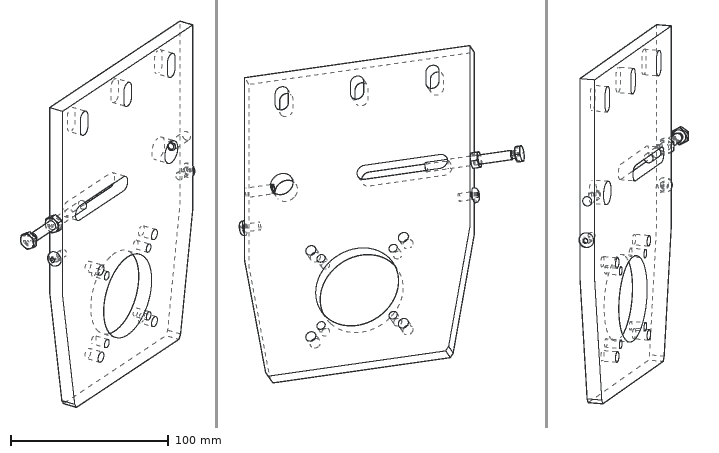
import cadquery as cq
import math


plate_height = 216.0
plate_width = 150.0
plate_thickness = 10.0
taper_height = 85.8
foot_width = 121.8
foot_chamfer_y = 2.0
foot_chamfer_z = 3.0

mount_slot_count = 3
mount_slot_pitch = 50.1
mount_slot_width = 8.6
mount_slot_length = 16.5
mount_slot_z = 197.5

bolt_z = 136.0
post_hole_diameter = 15.0
post_hole_y = 50.1
adjust_slot_width = 10.0
adjust_slot_length = 60.0
adjust_slot_y = -adjust_slot_length / 2

bore_diameter = 55.0
bore_z = 54.9
inner_hole_diameter = 5.5
inner_hole_pitch = 48.0
outer_hole_diameter = 6.7
outer_hole_pitch = 61.5

thread_diameter = 6.0
hexagon_sides = 6
hex_across_flats = 10.0
hex_face_diameter = 9.7
nut_seat_diameter = 8.6
hex_chamfer_angle = 25.0
bolt_protrusion = 33.3
bolt_shank_length = 59.8
bolt_head_height = 3.9
washer_face_diameter = 8.6
washer_face_height = 0.6
neck_diameter = 5.0
neck_length = 3.0
neck_taper_length = 0.6
nut_height = 5.0

side_screw_z = 111.0
side_screw_diameter = 5.0
side_screw_length = 10.0
side_screw_protrusion = 4.0
button_diameter = 9.5
button_height = 2.8
button_rim_height = 0.6
button_top_diameter = 5.0
socket_across_flats = 3.0
socket_depth = 1.5
socket_cone_depth = 0.9

set_screw_diameter = 6.0
set_screw_tip_diameter = 4.0
set_screw_tip_length = 0.9
set_screw_protrusion = 0.5

edge_y = plate_width / 2
bolt_head_y = -edge_y - bolt_protrusion
under_head_y = bolt_head_y + bolt_head_height
bolt_tip_y = under_head_y + bolt_shank_length
side_screw_tip_y = -edge_y - side_screw_protrusion + button_height + side_screw_length


def corners_of_hexagon(across_flats):
    """Distance across the corners of a regular hexagon."""
    return 2 * across_flats / math.sqrt(3)


hex_across_corners = corners_of_hexagon(hex_across_flats)


def cylinder_y(diameter, y_start, y_end, z):
    """Cylinder along Y between two Y positions, centred on X = 0."""
    base = cq.Workplane("XZ", origin=(0, y_start, z))
    return base.circle(diameter / 2).extrude(y_start - y_end)


def revolve_y(profile, z):
    """Turned shape about the Y-parallel axis at height z, from (radius, y) points."""
    axis_plane = cq.Workplane("XY", origin=(0, 0, z))
    return axis_plane.polyline(profile).close().revolve(360, (0, 0), (0, 1))


def hexagon_y(across_flats, y_start, y_end, z):
    """Hexagonal prism along Y with two corners pointing along Z."""
    across_corners = corners_of_hexagon(across_flats)
    base = cq.Workplane("XZ", origin=(0, y_start, z)).transformed(rotate=(0, 0, 90))
    return base.polygon(hexagon_sides, across_corners).extrude(y_start - y_end)


def corner_cone_length(face_diameter):
    """Length over which a cone from the end face reaches the corners of the hexagon."""
    radial_depth = (hex_across_corners - face_diameter) / 2
    return radial_depth * math.tan(math.radians(hex_chamfer_angle))


def chamfered_hexagon(y_start, y_end, start_face_diameter, end_face_diameter=None):
    """Hexagon with its corners turned down to a round face at the start, and at the end if given."""
    corner_radius = hex_across_corners / 2
    profile = [
        (0, y_start),
        (start_face_diameter / 2, y_start),
        (corner_radius, y_start + corner_cone_length(start_face_diameter)),
    ]
    if end_face_diameter is None:
        profile += [(corner_radius, y_end)]
    else:
        cone_start_y = y_end - corner_cone_length(end_face_diameter)
        profile += [(corner_radius, cone_start_y), (end_face_diameter / 2, y_end)]
    profile += [(0, y_end)]
    envelope = revolve_y(profile, bolt_z)
    return hexagon_y(hex_across_flats, y_start, y_end, bolt_z).intersect(envelope)


def through_plate(sketch):
    """Cutter through the plate, from outlines drawn on the YZ plane."""
    return sketch.extrude(plate_thickness / 2, both=True)


def square_pattern(pitch, diameter):
    holes = cq.Workplane("YZ", origin=(0, 0, bore_z)).rect(pitch, pitch, forConstruction=True)
    return through_plate(holes.vertices().circle(diameter / 2))


def make_plate():
    half_foot = foot_width / 2
    half_flat = half_foot - foot_chamfer_y
    outline = [
        (-half_flat, 0),
        (half_flat, 0),
        (half_foot, foot_chamfer_z),
        (edge_y, taper_height),
        (edge_y, plate_height),
        (-edge_y, plate_height),
        (-edge_y, taper_height),
        (-half_foot, foot_chamfer_z),
    ]
    plate = through_plate(cq.Workplane("YZ").polyline(outline).close())

    mount_slots = cq.Workplane("YZ", origin=(0, 0, mount_slot_z))
    mount_slots = mount_slots.rarray(mount_slot_pitch, 2.2, mount_slot_count, 1)
    plate = plate.cut(through_plate(mount_slots.slot2D(mount_slot_length, mount_slot_width, 90)))

    post_hole = cq.Workplane("YZ", origin=(0, post_hole_y, bolt_z))
    plate = plate.cut(through_plate(post_hole.circle(post_hole_diameter / 2)))

    adjust_slot = cq.Workplane("YZ", origin=(0, adjust_slot_y, bolt_z))
    plate = plate.cut(through_plate(adjust_slot.slot2D(adjust_slot_length, adjust_slot_width)))

    bore = cq.Workplane("YZ", origin=(0, 0, bore_z)).circle(bore_diameter / 2)
    plate = plate.cut(through_plate(bore))
    plate = plate.cut(square_pattern(inner_hole_pitch, inner_hole_diameter))
    plate = plate.cut(square_pattern(outer_hole_pitch, outer_hole_diameter))

    plate = plate.cut(cylinder_y(thread_diameter, -edge_y, adjust_slot_y, bolt_z))
    plate = plate.cut(cylinder_y(set_screw_diameter, post_hole_y, edge_y, bolt_z))
    plate = plate.cut(cylinder_y(side_screw_diameter, -edge_y, side_screw_tip_y, side_screw_z))
    plate = plate.cut(cylinder_y(side_screw_diameter, -side_screw_tip_y, edge_y, side_screw_z))
    return plate


def make_bolt():
    thread_radius = thread_diameter / 2
    neck_radius = neck_diameter / 2
    washer_radius = washer_face_diameter / 2
    washer_y = under_head_y - washer_face_height
    thread_end_y = under_head_y + neck_length
    shank = revolve_y(
        [
            (0, washer_y),
            (washer_radius, washer_y),
            (washer_radius, under_head_y),
            (neck_radius, under_head_y),
            (neck_radius, thread_end_y - neck_taper_length),
            (thread_radius, thread_end_y),
            (thread_radius, bolt_tip_y),
            (0, bolt_tip_y),
        ],
        bolt_z,
    )
    head = chamfered_hexagon(bolt_head_y, washer_y, hex_face_diameter)
    return head.union(shank)


def make_nut():
    nut_y = -edge_y - nut_height
    nut = chamfered_hexagon(nut_y, -edge_y, hex_face_diameter, nut_seat_diameter)
    return nut.cut(cylinder_y(thread_diameter, nut_y, -edge_y, bolt_z))


def make_side_screw():
    """Button-head screw in the -Y edge of the plate."""
    top_y = -edge_y - side_screw_protrusion
    seat_y = top_y + button_height
    rim_y = seat_y - button_rim_height
    rim_radius = button_diameter / 2
    top_radius = button_top_diameter / 2
    dome_height = button_height - button_rim_height
    dome_width = rim_radius - top_radius
    dome_radius = (dome_height**2 + dome_width**2) / (2 * dome_width)
    half_angle = math.asin(dome_height / dome_radius) / 2
    dome_middle = (
        rim_radius - dome_radius * (1 - math.cos(half_angle)),
        rim_y - dome_radius * math.sin(half_angle),
    )
    head = (
        cq.Workplane("XY", origin=(0, 0, side_screw_z))
        .moveTo(0, seat_y)
        .lineTo(rim_radius, seat_y)
        .lineTo(rim_radius, rim_y)
        .threePointArc(dome_middle, (top_radius, top_y))
        .lineTo(0, top_y)
        .close()
        .revolve(360, (0, 0), (0, 1))
    )
    shank = cylinder_y(side_screw_diameter, seat_y, side_screw_tip_y, side_screw_z)
    socket = hexagon_y(socket_across_flats, top_y, top_y + socket_depth, side_screw_z)
    floor_y = top_y + socket_depth
    drill_point = revolve_y(
        [(0, floor_y), (socket_across_flats / 2, floor_y), (0, floor_y + socket_cone_depth)],
        side_screw_z,
    )
    return head.union(shank).cut(socket).cut(drill_point)


def make_set_screw():
    tip_y = post_hole_y + post_hole_diameter / 2 - set_screw_protrusion
    radius = set_screw_diameter / 2
    return revolve_y(
        [
            (0, tip_y),
            (set_screw_tip_diameter / 2, tip_y),
            (radius, tip_y + set_screw_tip_length),
            (radius, edge_y),
            (0, edge_y),
        ],
        bolt_z,
    )


plate = make_plate()
bolt = make_bolt()
nut = make_nut()
side_screws = [make_side_screw().rotate((0, 0, 0), (0, 0, 1), angle) for angle in (0, 180)]
set_screw = make_set_screw()

side_screw_solids = [screw.val() for screw in side_screws]
result = cq.Compound.makeCompound(
    [plate.val(), bolt.val(), nut.val(), set_screw.val(), *side_screw_solids]
)